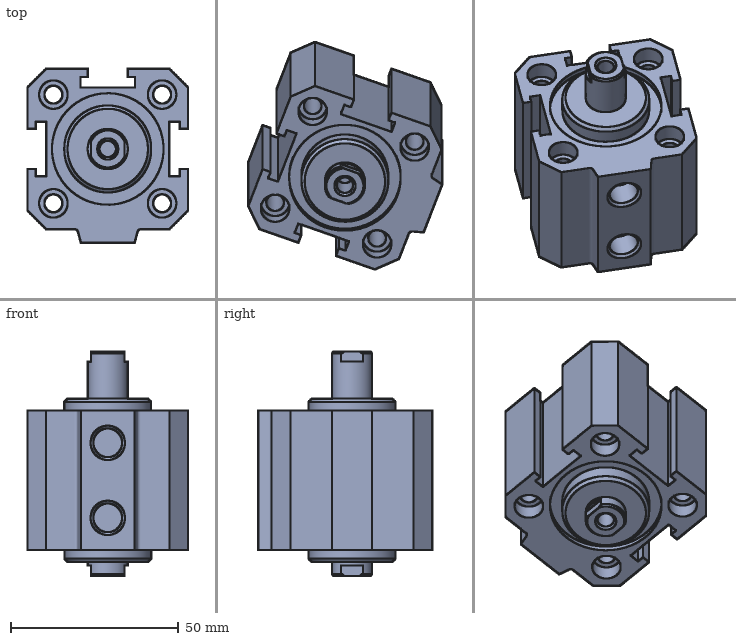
import cadquery as cq
import math


BODY_WIDTH = 48.0
BODY_HEIGHT = 41.7
CORNER_CHAMFER = 5.6
HALF_WIDTH = BODY_WIDTH / 2
HALF_HEIGHT = BODY_HEIGHT / 2

SLOT_OPENING = 11.9
SLOT_INNER_WIDTH = 16.15
SLOT_DEPTH = 5.6
SLOT_LIP = 2.55

RAIL_WIDTH = 16.1
RAIL_HEIGHT = 4.0
RAIL_FLANK_ANGLE = 15.0
RAIL_ROOT_RADIUS = 1.0

PORT_DIAMETER = 8.6
PORT_MOUTH_DIAMETER = 10.25
PORT_DEPTH = 8.05
PORT_END_DISTANCE = 9.65

BOSS_DIAMETER = 26.0
BOSS_PROJECTION = 3.55
BOSS_CHAMFER = 1.0
RECESS_DIAMETER = 33.3
RECESS_DEPTH = 1.9

MOUNT_HOLE_DIAMETER = 5.3
MOUNT_HOLE_SPACING = 32.4
COUNTERBORE_DIAMETER = 8.5
COUNTERBORE_DEPTH = 5.5

ROD_DIAMETER = 12.0
ROD_TOP_PROJECTION = 14.1
ROD_BOTTOM_PROJECTION = 4.15
ROD_CHAMFER_HEIGHT = 0.7
ROD_CHAMFER_WIDTH = 0.5
FLATS_WIDTH = 10.1
FLATS_LENGTH = 3.1
ROD_HOLE_DIAMETER = 4.9
ROD_HOLE_MOUTH_DIAMETER = 6.3
ROD_HOLE_DEPTH = 10.05

BOSS_END = HALF_HEIGHT + BOSS_PROJECTION
ROD_TOP = BOSS_END + ROD_TOP_PROJECTION
ROD_BOTTOM = -BOSS_END - ROD_BOTTOM_PROJECTION

UP = cq.Vector(0, 0, 1)
DOWN = cq.Vector(0, 0, -1)
INTO_RAIL = cq.Vector(0, 1, 0)


def cylinder(diameter, length, start, direction):
    return cq.Workplane(cq.Solid.makeCylinder(diameter / 2, length, start, direction))


def countersunk_hole(diameter, mouth_diameter, depth, start, direction):
    """Cutter for a blind hole with a 45 degree countersunk mouth."""
    mouth_depth = (mouth_diameter - diameter) / 2
    mouth = cq.Solid.makeCone(mouth_diameter / 2, diameter / 2, mouth_depth, start, direction)
    return cylinder(diameter, depth, start, direction).union(cq.Workplane(mouth))


def vertical_block(width, depth):
    """Block of the housing's height, centred on the origin."""
    return cq.Workplane("XY").box(width, depth, BODY_HEIGHT)


def t_slot():
    """Cutter for the T-slot in the +Y side."""
    inner_depth = SLOT_DEPTH - SLOT_LIP
    opening = vertical_block(SLOT_OPENING, SLOT_DEPTH).translate((0, HALF_WIDTH - SLOT_DEPTH / 2, 0))
    inner = vertical_block(SLOT_INNER_WIDTH, inner_depth)
    return opening.union(inner.translate((0, HALF_WIDTH - SLOT_DEPTH + inner_depth / 2, 0)))


def rail():
    """Tapered rail on the -Y side, with its root at the housing face."""
    root_half = RAIL_WIDTH / 2 + RAIL_HEIGHT * math.tan(math.radians(RAIL_FLANK_ANGLE))
    face_y = -HALF_WIDTH - RAIL_HEIGHT
    outline = [
        (-root_half, -HALF_WIDTH),
        (-RAIL_WIDTH / 2, face_y),
        (RAIL_WIDTH / 2, face_y),
        (root_half, -HALF_WIDTH),
        (root_half, 0),
        (-root_half, 0),
    ]
    return cq.Workplane("XY").workplane(offset=-HALF_HEIGHT).polyline(outline).close().extrude(BODY_HEIGHT)


def add_rail(body):
    """Join the rail to the housing and round the two edges at its root."""
    root_edges = cq.selectors.BoxSelector(
        (-RAIL_WIDTH, -HALF_WIDTH - RAIL_ROOT_RADIUS, -HALF_HEIGHT),
        (RAIL_WIDTH, -HALF_WIDTH + RAIL_ROOT_RADIUS, HALF_HEIGHT),
    )
    return body.union(rail()).edges("|Z").edges(root_edges).fillet(RAIL_ROOT_RADIUS)


def housing_end(body, side):
    """Add the recess, boss and counterbores at one end: side is 1 for the top, -1 for the bottom."""
    inward = DOWN if side > 0 else UP
    end_z = side * HALF_HEIGHT
    body = body.cut(cylinder(RECESS_DIAMETER, RECESS_DEPTH, cq.Vector(0, 0, end_z), inward))

    boss_start = cq.Vector(0, 0, side * BOSS_END)
    boss = cylinder(BOSS_DIAMETER, BOSS_PROJECTION + RECESS_DEPTH, boss_start, inward)
    outer_face = ">Z" if side > 0 else "<Z"
    body = body.union(boss.faces(outer_face).edges().chamfer(BOSS_CHAMFER))

    for x, y in mount_positions():
        body = body.cut(cylinder(COUNTERBORE_DIAMETER, COUNTERBORE_DEPTH, cq.Vector(x, y, end_z), inward))
    return body


def mount_positions():
    half = MOUNT_HOLE_SPACING / 2
    return [(x, y) for x in (-half, half) for y in (-half, half)]


def make_housing():
    body = vertical_block(BODY_WIDTH, BODY_WIDTH).edges("|Z").chamfer(CORNER_CHAMFER)
    body = add_rail(body)

    for angle in (-90, 0, 90):
        body = body.cut(t_slot().rotate((0, 0, 0), (0, 0, 1), angle))

    for side in (1, -1):
        body = housing_end(body, side)
        port_start = cq.Vector(0, -HALF_WIDTH - RAIL_HEIGHT, side * (HALF_HEIGHT - PORT_END_DISTANCE))
        body = body.cut(
            countersunk_hole(PORT_DIAMETER, PORT_MOUTH_DIAMETER, PORT_DEPTH, port_start, INTO_RAIL)
        )

    for x, y in mount_positions():
        body = body.cut(cylinder(MOUNT_HOLE_DIAMETER, BODY_HEIGHT, cq.Vector(x, y, -HALF_HEIGHT), UP))

    return body.cut(cylinder(ROD_DIAMETER, 2 * BOSS_END, cq.Vector(0, 0, -BOSS_END), UP))


def rod_blank():
    """Rod turned about Z, with both ends chamfered."""
    radius = ROD_DIAMETER / 2
    end_radius = radius - ROD_CHAMFER_WIDTH
    profile = [
        (0, ROD_BOTTOM),
        (end_radius, ROD_BOTTOM),
        (radius, ROD_BOTTOM + ROD_CHAMFER_HEIGHT),
        (radius, ROD_TOP - ROD_CHAMFER_HEIGHT),
        (end_radius, ROD_TOP),
        (0, ROD_TOP),
    ]
    return cq.Workplane("XZ").polyline(profile).close().revolve(360, (0, 0), (0, 1))


def make_rod():
    rod = rod_blank()
    for end_z, inward in ((ROD_TOP, DOWN), (ROD_BOTTOM, UP)):
        flats_z = end_z + inward.z * FLATS_LENGTH / 2
        for side in (1, -1):
            flat = cq.Workplane("XY").box(ROD_DIAMETER, ROD_DIAMETER, FLATS_LENGTH)
            rod = rod.cut(flat.translate((side * (FLATS_WIDTH + ROD_DIAMETER) / 2, 0, flats_z)))

        end_centre = cq.Vector(0, 0, end_z)
        rod = rod.cut(
            countersunk_hole(ROD_HOLE_DIAMETER, ROD_HOLE_MOUTH_DIAMETER, ROD_HOLE_DEPTH, end_centre, inward)
        )
    return rod


housing = make_housing()
rod = make_rod()
result = cq.Compound.makeCompound([housing.val(), rod.val()])